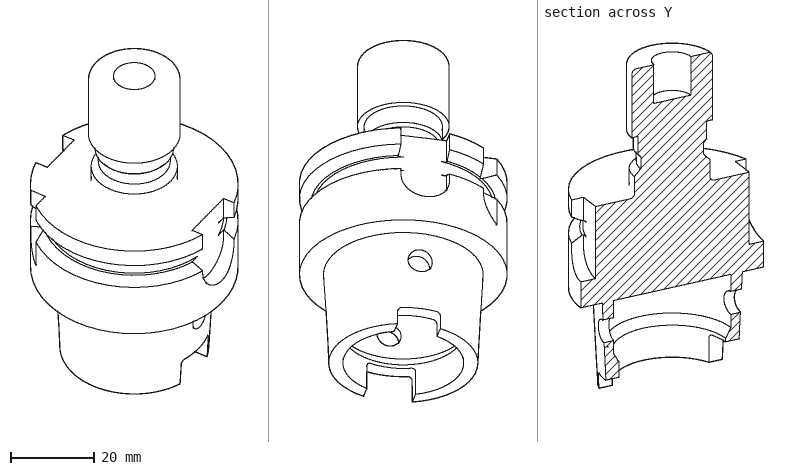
import cadquery as cq
import math

total_height = 85.0
shank_height = 25.0
flange_top = 51.0

shank_top_radius = 19.2
shank_taper = 0.05
shank_bottom_radius = shank_top_radius - shank_taper * shank_height
mouth_radius = 14.5
chamber_radius = 16.0
mouth_depth = 8.5
chamber_cone_height = 2.55
cross_hole_radius = 3.0
cross_hole_height = 17.5

flange_radius = 25.0
groove_radius = 21.5
groove_ledge = 0.8
groove_middle = 43.0
groove_floor_width = 3.8
groove_mouth_width = 6.9

neck_radius = 10.4
neck_top = 56.6
neck_fillet = 1.1
waist_radius = 8.7
waist_bottom = 58.3
collar_radius = 9.4
collar_bottom = 62.2
collar_chamfer = collar_radius - waist_radius
head_radius = 11.05
head_bottom = 66.9
head_fillet = 1.2
head_hole_radius = 5.0
head_hole_depth = 10.2

slot_floor = 21.0
slot_bottom = 32.0
narrow_slot_width = 12.0
wide_slot_width = 14.0
corner_notch_floor = 15.55
corner_notch_wall = 15.4

narrow_notch_width = 10.5
narrow_notch_height = 4.4
wide_notch_width = 12.0
wide_notch_height = 7.5
notch_fillet = 1.0


def make_body():
    """Revolve the outer profile; points are (radius, height)."""
    fillet_sine = math.sin(math.radians(45))
    half_floor = groove_floor_width / 2
    half_mouth = groove_mouth_width / 2
    return (
        cq.Workplane("XZ")
        .lineTo(shank_bottom_radius, 0)
        .lineTo(shank_top_radius, shank_height)
        .lineTo(flange_radius, shank_height)
        .lineTo(flange_radius, groove_middle - half_mouth)
        .lineTo(groove_radius + groove_ledge, groove_middle - half_floor)
        .lineTo(groove_radius, groove_middle - half_floor)
        .lineTo(groove_radius, groove_middle + half_floor)
        .lineTo(groove_radius + groove_ledge, groove_middle + half_floor)
        .lineTo(flange_radius, groove_middle + half_mouth)
        .lineTo(flange_radius, flange_top)
        .lineTo(neck_radius + neck_fillet, flange_top)
        .threePointArc(
            (neck_radius + neck_fillet * (1 - fillet_sine), flange_top + neck_fillet * (1 - fillet_sine)),
            (neck_radius, flange_top + neck_fillet),
        )
        .lineTo(neck_radius, neck_top)
        .lineTo(waist_radius, waist_bottom)
        .lineTo(waist_radius, collar_bottom - collar_chamfer)
        .lineTo(collar_radius, collar_bottom)
        .lineTo(collar_radius, head_bottom)
        .lineTo(head_radius, head_bottom)
        .lineTo(head_radius, total_height - head_fillet)
        .threePointArc(
            (head_radius - head_fillet * (1 - fillet_sine), total_height - head_fillet * (1 - fillet_sine)),
            (head_radius - head_fillet, total_height),
        )
        .lineTo(0, total_height)
        .close()
        .revolve(360, (0, 0, 0), (0, 1, 0))
    )


def flange_slot(side, width, middle_y, floor):
    """Cutter open upwards and outwards on the X side given by side (+1 or -1)."""
    radius = width / 2
    arc_height = slot_bottom + radius
    return (
        cq.Workplane("YZ", origin=(side * floor, 0, 0))
        .moveTo(middle_y - radius, flange_top)
        .lineTo(middle_y - radius, arc_height)
        .threePointArc((middle_y, slot_bottom), (middle_y + radius, arc_height))
        .lineTo(middle_y + radius, flange_top)
        .close()
        .extrude(side * flange_radius)
    )


def drive_notch(side, width, height):
    """Cutter through one wall of the hollow shank, with rounded upper corners."""
    return (
        cq.Workplane("XY")
        .box(flange_radius, width, height, centered=(True, True, False))
        .edges("|X and >Z")
        .fillet(notch_fillet)
        .translate((side * flange_radius / 2, 0, 0))
    )


shank_bore = (
    cq.Workplane("XZ")
    .lineTo(mouth_radius, 0)
    .lineTo(mouth_radius, mouth_depth)
    .lineTo(chamber_radius, mouth_depth + chamber_cone_height)
    .lineTo(chamber_radius, shank_height)
    .lineTo(0, shank_height)
    .close()
    .revolve(360, (0, 0, 0), (0, 1, 0))
)
cross_hole = (
    cq.Workplane("YZ", origin=(0, 0, cross_hole_height))
    .circle(cross_hole_radius)
    .extrude(shank_top_radius, both=True)
)
head_hole = (
    cq.Workplane("XY", origin=(0, 0, total_height))
    .circle(head_hole_radius)
    .extrude(-head_hole_depth)
)
result = make_body().cut(shank_bore).cut(cross_hole).cut(head_hole)

corner_notch_middle = -corner_notch_wall - narrow_slot_width / 2
result = result.cut(flange_slot(-1, narrow_slot_width, 0, slot_floor))
result = result.cut(flange_slot(1, wide_slot_width, 0, slot_floor))
result = result.cut(flange_slot(-1, narrow_slot_width, corner_notch_middle, corner_notch_floor))

result = result.cut(drive_notch(-1, narrow_notch_width, narrow_notch_height))
result = result.cut(drive_notch(1, wide_notch_width, wide_notch_height))